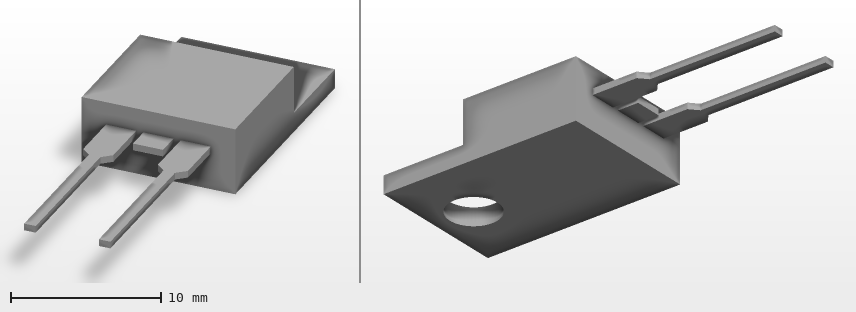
import cadquery as cq

housing_width = 11.2
housing_height = 4.9
block_length = 9.6
tab_length = 6.73
tab_thickness = 1.45
hole_diameter = 4.05
hole_edge_distance = 3.22

overall_length = 31.3
lead_length = overall_length - block_length - tab_length
lead_pitch = 2.72
lead_thickness = 0.5
lead_bottom = 2.72
shoulder_width = 2.2
shoulder_length = 3.75
taper_length = 0.6
tip_width = 0.85
stub_length = 1.72


def make_housing():
    """Stepped housing with its front face at Y = 0 and its base at Z = 0."""
    tab_end = block_length + tab_length
    profile = [
        (0, 0),
        (tab_end, 0),
        (tab_end, tab_thickness),
        (block_length, tab_thickness),
        (block_length, housing_height),
        (0, housing_height),
    ]
    body = cq.Workplane("YZ").polyline(profile).close().extrude(housing_width / 2, both=True)
    hole = (
        cq.Workplane("XY")
        .center(0, tab_end - hole_edge_distance)
        .circle(hole_diameter / 2)
        .extrude(tab_thickness)
    )
    return body.cut(hole)


def make_lead(center_x):
    """Long lead with a wide shoulder that tapers to a narrow tip."""
    taper_end = shoulder_length + taper_length
    right_side = [
        (shoulder_width / 2, 0),
        (shoulder_width / 2, -shoulder_length),
        (tip_width / 2, -taper_end),
        (tip_width / 2, -lead_length),
    ]
    left_side = [(-x, y) for x, y in reversed(right_side)]
    return (
        cq.Workplane("XY", origin=(center_x, 0, lead_bottom))
        .polyline(right_side + left_side)
        .close()
        .extrude(lead_thickness)
    )


def make_stub():
    """Cut-off middle lead, as wide as the shoulders of the long leads."""
    return cq.Workplane("XY", origin=(0, -stub_length / 2, lead_bottom)).box(
        shoulder_width, stub_length, lead_thickness, centered=(True, True, False)
    )


housing = make_housing()
leads = [make_lead(side * lead_pitch) for side in (-1, 1)]
stub = make_stub()

result = cq.Compound.makeCompound([housing.val(), *[lead.val() for lead in leads], stub.val()])